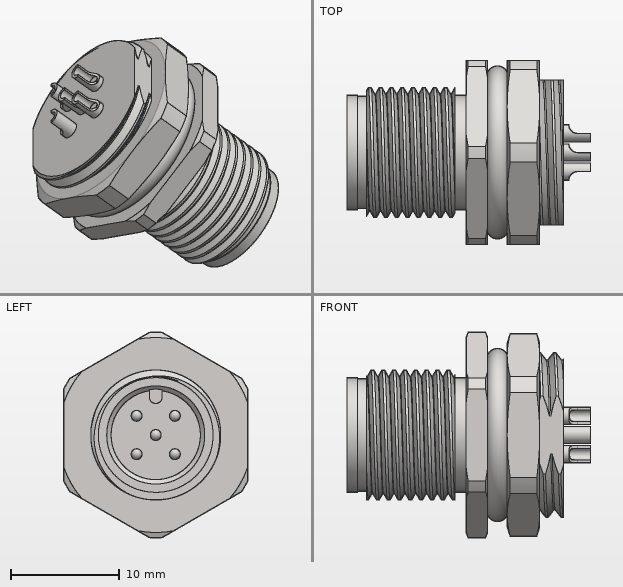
import cadquery as cq
import math

NOSE_END = 1.0
FRONT_THREAD_START = 1.8
FRONT_THREAD_END = 10.0
FLANGE_START = 11.0
FLANGE_THICKNESS = 2.0
FLANGE_END = FLANGE_START + FLANGE_THICKNESS
NUT_THICKNESS = 3.0
NUT_START = 14.8
NUT_END = NUT_START + NUT_THICKNESS
BODY_END = 20.0
TOTAL_LENGTH = 22.5

SLEEVE_RADIUS = 5.3
RELIEF_RADIUS = 5.2
SOCKET_RADIUS = 4.12
SOCKET_DEPTH = 9.0
SOCKET_CHAMFER = 0.41

FRONT_CREST_RADIUS = 6.0
FRONT_ROOT_RADIUS = 5.4
FRONT_PITCH = 1.0
FRONT_CREST_WIDTH = 0.25
FRONT_ROOT_WIDTH = 0.06
FRONT_BOTTOM_CREST = 2.86

REAR_CREST_RADIUS = 7.6
REAR_ROOT_RADIUS = 6.93
REAR_PITCH = 1.41
REAR_CREST_WIDTH = 0.22
REAR_ROOT_WIDTH = 0.14
REAR_BOTTOM_CREST = 18.47
REAR_WIDTH_OVER_FLATS = 13.4

SUNK_SHARE = 0.35

ACROSS_FLATS = 17.0
FLANGE_CORNER_RADIUS = 9.5
FLANGE_FACE_RADIUS = 9.0
FLANGE_CHAMFER_LENGTH = 0.2
NUT_CORNER_RADIUS = 9.36
NUT_FACE_RADIUS = 8.5
NUT_CHAMFER_LENGTH = 0.27

RING_OUTER_RADIUS = 8.0
RING_SECTION_RADIUS = 1.0

PIN_RADIUS = 0.5
PIN_TIP = 1.9
PIN_CIRCLE_RADIUS = 2.5
PIN_OFFSET = PIN_CIRCLE_RADIUS / math.sqrt(2)
CUP_RADIUS = 0.8
CUP_BORE_RADIUS = 0.52
CUP_BORE_START = BODY_END + 0.5

KEY_START = 0.3
KEY_WIDTH = 1.18
KEY_TIP = 2.91

OVERLAP = 0.2


def rod(start, end, radius, y=0, z=0):
    """Cylinder parallel to X."""
    return cq.Workplane("YZ", origin=(start, y, z)).circle(radius).extrude(end - start)


def thread(start, end, crest_radius, root_radius, pitch, crest_width, root_width, bottom_crest):
    """Right-handed external thread, cut square at both ends: a helical ridge on a round core."""
    helix_start = bottom_crest - (math.ceil((bottom_crest - start) / pitch) + 1) * pitch
    helix_length = (math.ceil((end - helix_start) / pitch) + 1) * pitch
    half_crest = crest_width / 2
    half_base = (pitch - root_width) / 2
    sunk_width = SUNK_SHARE * root_width
    sunk_depth = sunk_width * (crest_radius - root_radius) / (half_base - half_crest)
    profile = [
        (root_radius - sunk_depth, -half_base - sunk_width),
        (crest_radius, -half_crest),
        (crest_radius, half_crest),
        (root_radius - sunk_depth, half_base + sunk_width),
    ]
    helix = cq.Workplane(obj=cq.Wire.makeHelix(pitch, helix_length, root_radius))
    ridge = cq.Workplane("XZ").polyline(profile).close().sweep(helix, isFrenet=True)
    ridge = ridge.rotate((0, 0, 0), (0, 1, 0), 90).translate((helix_start, 0, 0))
    core = rod(helix_start - 2 * pitch, helix_start + helix_length + 2 * pitch, root_radius)
    trim = rod(start, end, 2 * crest_radius)
    return core.union(ridge, clean=False).intersect(trim, clean=False)


def hexagon(start, thickness, corner_radius, face_radius, chamfer_length):
    """Hexagon with corners on +Z and -Z, turned round and chamfered at both faces."""
    corner_diameter = 2 * ACROSS_FLATS / math.sqrt(3)
    prism = cq.Workplane("YZ", origin=(start, 0, 0)).transformed(rotate=(0, 0, 90))
    prism = prism.polygon(6, corner_diameter).extrude(thickness)
    end = start + thickness
    outline = [
        (start, 0),
        (start, face_radius),
        (start + chamfer_length, corner_radius),
        (end - chamfer_length, corner_radius),
        (end, face_radius),
        (end, 0),
    ]
    turned = cq.Workplane("XY").polyline(outline).close().revolve(360, (0, 0, 0), (1, 0, 0))
    return prism.intersect(turned)


def sleeve():
    """Plain nose, relief, M12 thread and neck up to the flange."""
    nose = rod(0, NOSE_END, SLEEVE_RADIUS)
    relief = rod(NOSE_END, FRONT_THREAD_START, RELIEF_RADIUS)
    neck = rod(FRONT_THREAD_END, FLANGE_START, SLEEVE_RADIUS)
    threaded = thread(
        FRONT_THREAD_START, FRONT_THREAD_END, FRONT_CREST_RADIUS, FRONT_ROOT_RADIUS,
        FRONT_PITCH, FRONT_CREST_WIDTH, FRONT_ROOT_WIDTH, FRONT_BOTTOM_CREST,
    )
    return threaded.union(nose).union(relief).union(neck)


def socket():
    """Chamfered bore at the mating face."""
    outline = [
        (0, 0),
        (0, SOCKET_RADIUS + SOCKET_CHAMFER),
        (SOCKET_CHAMFER, SOCKET_RADIUS),
        (SOCKET_DEPTH, SOCKET_RADIUS),
        (SOCKET_DEPTH, 0),
    ]
    return cq.Workplane("XY").polyline(outline).close().revolve(360, (0, 0, 0), (1, 0, 0))


def coding_key():
    """Round-edged key along the +Z side of the socket."""
    half_width = KEY_WIDTH / 2
    key_top = SOCKET_RADIUS + OVERLAP
    round_center = KEY_TIP + half_width
    return (
        cq.Workplane("YZ", origin=(KEY_START, 0, 0))
        .moveTo(-half_width, key_top)
        .lineTo(-half_width, round_center)
        .threePointArc((0, KEY_TIP), (half_width, round_center))
        .lineTo(half_width, key_top)
        .close()
        .extrude(SOCKET_DEPTH + OVERLAP - KEY_START)
    )


def o_ring():
    """Ring trimmed flat where it bears on the flange and the nut."""
    center_radius = RING_OUTER_RADIUS - RING_SECTION_RADIUS
    ring = (
        cq.Workplane("XY", origin=((FLANGE_END + NUT_START) / 2, 0, 0))
        .center(0, center_radius)
        .circle(RING_SECTION_RADIUS)
        .revolve(360, (0, -center_radius, 0), (1, -center_radius, 0))
    )
    return ring.intersect(rod(FLANGE_END, NUT_START, RING_OUTER_RADIUS + OVERLAP))


def rear_body():
    """Core under the O-ring and nut, then the flattened PG9 thread."""
    core = rod(FLANGE_END, NUT_END, REAR_ROOT_RADIUS)
    threaded = thread(
        NUT_END, BODY_END, REAR_CREST_RADIUS, REAR_ROOT_RADIUS,
        REAR_PITCH, REAR_CREST_WIDTH, REAR_ROOT_WIDTH, REAR_BOTTOM_CREST,
    )
    middle = (NUT_END + BODY_END) / 2
    between_flats = cq.Workplane("XY").box(
        BODY_END - NUT_END, REAR_WIDTH_OVER_FLATS, 2 * (REAR_CREST_RADIUS + OVERLAP)
    ).translate((middle, 0, 0))
    return core.union(threaded.intersect(between_flats))


def pin(y, z):
    """Contact pin with a ball-shaped tip, rooted in the socket floor."""
    ball_center = PIN_TIP + PIN_RADIUS
    ball = cq.Workplane("XY").sphere(PIN_RADIUS).translate((ball_center, y, z))
    return rod(ball_center, SOCKET_DEPTH + OVERLAP, PIN_RADIUS, y, z).union(ball)


def solder_cup(y, z, open_side):
    """Half-open solder cup; open_side is +1 or -1 for an opening toward +Y or -Y."""
    cup = rod(BODY_END - OVERLAP, TOTAL_LENGTH, CUP_RADIUS, y, z)
    bore = rod(CUP_BORE_START, TOTAL_LENGTH, CUP_BORE_RADIUS, y, z)
    rim = y + open_side * CUP_RADIUS
    arc_middle = CUP_RADIUS * (1 - math.sqrt(0.5))
    opening = (
        cq.Workplane("XY", origin=(0, 0, z - CUP_RADIUS))
        .moveTo(CUP_BORE_START, rim)
        .threePointArc(
            (CUP_BORE_START + arc_middle, y + open_side * arc_middle),
            (CUP_BORE_START + CUP_RADIUS, y),
        )
        .lineTo(TOTAL_LENGTH, y)
        .lineTo(TOTAL_LENGTH, rim)
        .close()
        .extrude(2 * CUP_RADIUS)
    )
    return cup.cut(bore).cut(opening)


def contact_positions():
    """Centre and four corners: Y, Z and the side the solder cup opens to."""
    corners = [(y * PIN_OFFSET, z * PIN_OFFSET, y) for y in (1, -1) for z in (1, -1)]
    return [(0, 0, 1)] + corners


def contacts():
    """All pins with their solder cups."""
    joined = cq.Workplane("XY")
    for y, z, open_side in contact_positions():
        joined = joined.add(pin(y, z)).add(solder_cup(y, z, open_side))
    return joined


flange = hexagon(
    FLANGE_START, FLANGE_THICKNESS, FLANGE_CORNER_RADIUS, FLANGE_FACE_RADIUS, FLANGE_CHAMFER_LENGTH
)
nut = hexagon(NUT_START, NUT_THICKNESS, NUT_CORNER_RADIUS, NUT_FACE_RADIUS, NUT_CHAMFER_LENGTH)

shell = sleeve().union(flange).union(rear_body()).union(o_ring()).union(nut)
result = shell.cut(socket()).union(coding_key()).union(contacts())